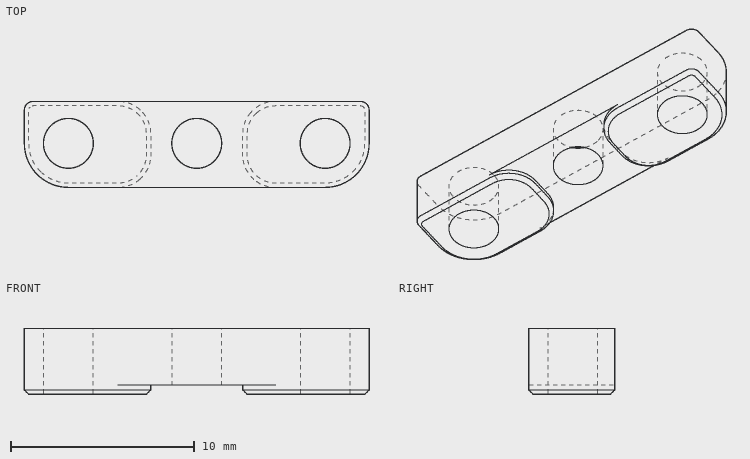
import cadquery as cq

length = 18.8
width = 4.7
height = 3.6

front_corner_radius = 2.4
back_corner_radius = 0.49

hole_diameter = 2.7
hole_pitch = length / 2 - front_corner_radius
hole_y = front_corner_radius - width / 2

foot_height = 0.5
foot_length = 6.9
foot_inner_radius = 1.79
foot_chamfer = 0.25


def make_body():
    """Bar above the feet with large front and small back corners."""
    body = cq.Workplane("XY").box(length, width, height - foot_height, centered=(True, True, False))
    body = body.edges("|Z and <Y").fillet(front_corner_radius)
    body = body.edges("|Z and >Y").fillet(back_corner_radius)
    return body.translate((0, 0, foot_height))


def make_left_foot():
    """Foot flush with the left end, rounded inwards and chamfered underneath."""
    foot = cq.Workplane("XY").box(foot_length, width, foot_height, centered=(False, True, False))
    foot = foot.edges("|Z and <X and <Y").fillet(front_corner_radius)
    foot = foot.edges("|Z and <X and >Y").fillet(back_corner_radius)
    foot = foot.edges("|Z and >X").fillet(foot_inner_radius)
    foot = foot.faces("<Z").chamfer(foot_chamfer)
    return foot.translate((-length / 2, 0, 0))


left_foot = make_left_foot()
right_foot = left_foot.mirror("YZ")

holes = (
    cq.Workplane("XY")
    .pushPoints([(step * hole_pitch, hole_y) for step in (-1, 0, 1)])
    .circle(hole_diameter / 2)
    .extrude(height)
)

result = make_body().union(left_foot).union(right_foot).cut(holes)